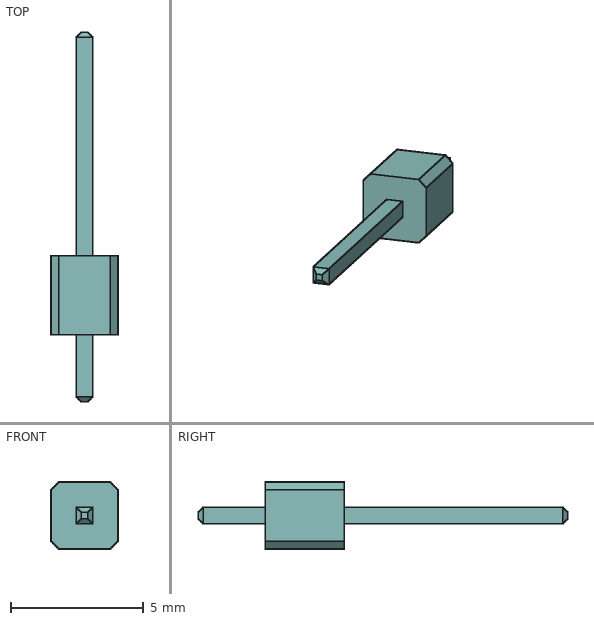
import cadquery as cq

body_width = 2.54
body_length = 3.0
body_chamfer = 0.3

pin_width = 0.64
pin_length = 14.0
pin_chamfer = 0.2
front_reach = 2.54

body_middle_y = body_length / 2
pin_middle_y = pin_length / 2 - front_reach


def make_body():
    """Square block along Y with chamfered long edges."""
    block = cq.Workplane("XY").box(body_width, body_length, body_width)
    chamfered = block.edges("|Y").chamfer(body_chamfer)
    return chamfered.translate((0, body_middle_y, 0))


def make_pin():
    """Square bar along Y, tapering to a smaller square at each end."""
    bar = cq.Workplane("XY").box(pin_width, pin_length, pin_width)
    tapered = bar.faces("<Y or >Y").edges().chamfer(pin_chamfer)
    return tapered.translate((0, pin_middle_y, 0))


result = make_body().union(make_pin())